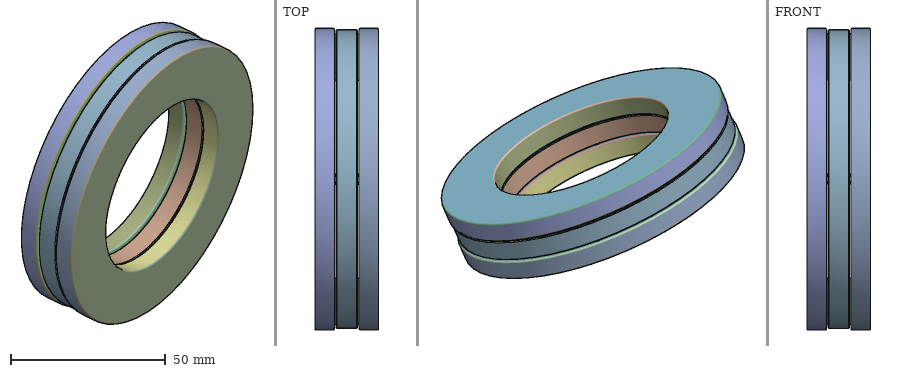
import cadquery as cq

outer_diameter = 97.6
bore_diameter = 60.3
total_width = 20.6
washer_edge_radius = 0.5

roller_diameter = 7.9
roller_length = 15.0
roller_count = 4

ring_clearance = 0.5
cage_width = 6.8
cage_edge_chamfer = 0.3

washer_width = (total_width - roller_diameter) / 2
washer_offset = (roller_diameter + washer_width) / 2
cage_outer_diameter = outer_diameter - 2 * ring_clearance
cage_bore_diameter = bore_diameter + 2 * ring_clearance
pitch_radius = (outer_diameter + bore_diameter) / 4


def make_ring(outer, bore, width, center_x):
    """Plain flat ring about the X axis, centred on center_x."""
    return (
        cq.Workplane("YZ", origin=(center_x - width / 2, 0, 0))
        .circle(outer / 2)
        .circle(bore / 2)
        .extrude(width)
    )


def make_washer(side):
    """Washer with rounded edges on one side of the rollers; side is -1 or 1."""
    washer = make_ring(outer_diameter, bore_diameter, washer_width, side * washer_offset)
    return washer.edges().fillet(washer_edge_radius)


def make_roller(angle):
    """Cylinder lying along a radius, turned by angle about the bearing axis."""
    return (
        cq.Workplane("XY", origin=(0, 0, pitch_radius - roller_length / 2))
        .circle(roller_diameter / 2)
        .extrude(roller_length)
        .rotate((0, 0, 0), (1, 0, 0), angle)
    )


def make_cage(rollers):
    """Chamfered ring between the washers, with a matching pocket around each roller."""
    cage = make_ring(cage_outer_diameter, cage_bore_diameter, cage_width, 0)
    cage = cage.edges().chamfer(cage_edge_chamfer)
    for roller in rollers:
        cage = cage.cut(roller)
    return cage


washers = [make_washer(side) for side in (-1, 1)]
rollers = [make_roller(index * 360 / roller_count) for index in range(roller_count)]
cage = make_cage(rollers)

bodies = [*washers, cage, *rollers]
result = cq.Compound.makeCompound([body.val() for body in bodies])